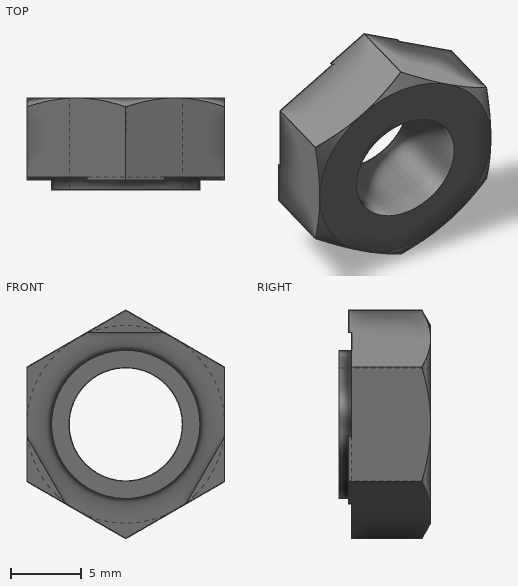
import cadquery as cq
import math

across_corners = 16.17
across_flats = across_corners * math.cos(math.radians(30))
bore_diameter = 8.0
collar_diameter = 10.5
body_thickness = 5.6
pad_face_depth = 5.8
overall_thickness = 6.5
pad_edge_distance = 6.5
chamfer_angle = 30.0
pad_corner_angles = (90, 210, 330)

corner_radius = across_corners / 2


def hexagonal_prism(length):
    """Hexagon with two corners on Z, running from the back face at Y = 0 to -Y."""
    corners = [
        (
            corner_radius * math.cos(math.radians(angle)),
            corner_radius * math.sin(math.radians(angle)),
        )
        for angle in range(30, 390, 60)
    ]
    return cq.Workplane("XZ").polyline(corners).close().extrude(length)


def cylinder(diameter, length):
    """Cylinder on the nut axis, running from Y = 0 to -Y."""
    return cq.Workplane("XZ").circle(diameter / 2).extrude(length)


def corner_pads():
    """Raised pads on three alternate corners of the collar side."""
    cutters = cq.Workplane("XZ")
    for angle in pad_corner_angles:
        cutter = (
            cq.Workplane("XZ")
            .transformed(rotate=(0, 0, angle))
            .center(pad_edge_distance, 0)
            .rect(across_corners, across_corners, centered=(False, True))
            .extrude(pad_face_depth)
        )
        cutters = cutters.add(cutter)
    return hexagonal_prism(pad_face_depth).intersect(cutters.combine())


def chamfer_envelope():
    """Turned envelope whose cone bevels the corners around the back face."""
    face_radius = across_flats / 2
    cone_depth = (corner_radius - face_radius) * math.tan(math.radians(chamfer_angle))
    return (
        cq.Workplane("XY")
        .moveTo(0, 0)
        .lineTo(face_radius, 0)
        .lineTo(corner_radius, -cone_depth)
        .lineTo(corner_radius, -overall_thickness)
        .lineTo(0, -overall_thickness)
        .close()
        .revolve(360, (0, 0, 0), (0, 1, 0))
    )


body = hexagonal_prism(body_thickness).union(corner_pads())
body = body.intersect(chamfer_envelope())
collar = cylinder(collar_diameter, overall_thickness)
bore = cylinder(bore_diameter, overall_thickness)
result = body.union(collar).cut(bore)